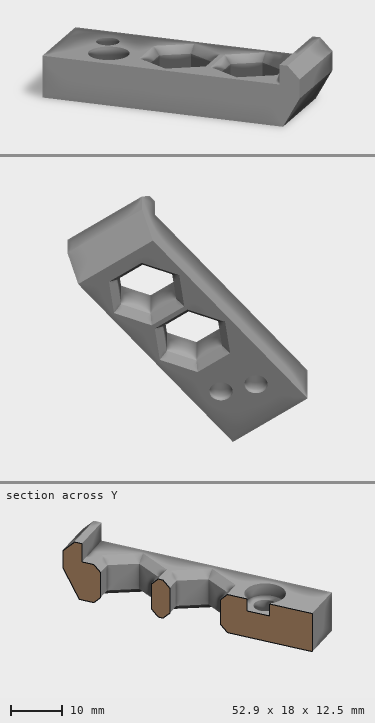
import cadquery as cq
import math

length = 52.85
width = 18.0
base_height = 8.5
total_height = 12.5

lip_start = 48.75
lip_top_end = 50.35
lip_nose_top = 10.05
lip_nose_bottom = 6.15
underside_end = 49.4

hole_diameter = 4.5
counterbore_diameter = 8.0
counterbore_depth = 2.65
plain_hole_center = (8.8, 3.2)
counterbored_hole_center = (11.45, -3.2)

hex_centers_x = (24.85, 39.5)
hex_flats = 10.7
hex_mouth_flats = 13.65
flare_depth = 1.5


def make_body():
    """Side profile extruded across the width."""
    profile = [
        (0, 0),
        (underside_end, 0),
        (length, lip_nose_bottom),
        (length, lip_nose_top),
        (lip_top_end, total_height),
        (lip_start, total_height),
        (lip_start, base_height),
        (0, base_height),
    ]
    return cq.Workplane("XZ").polyline(profile).close().extrude(width / 2, both=True)


def hex_points(flats):
    """Corners of a hexagon with two of them on the Y axis."""
    radius = flats / math.sqrt(3)
    angles = [math.radians(30 + 60 * i) for i in range(6)]
    return [(radius * math.cos(a), radius * math.sin(a)) for a in angles]


def hex_window(center_x):
    """Straight hexagonal prism with a tapered mouth at the top and bottom."""
    def section(z, flats):
        return cq.Workplane("XY", origin=(center_x, 0, z)).polyline(hex_points(flats)).close()

    def flare(mouth_z, throat_z):
        mouth = section(mouth_z, hex_mouth_flats)
        rise = throat_z - mouth_z
        return mouth.workplane(offset=rise).polyline(hex_points(hex_flats)).close().loft(ruled=True)

    window = section(0, hex_flats).extrude(base_height)
    window = window.union(flare(base_height, base_height - flare_depth))
    return window.union(flare(0, flare_depth))


def cylinder(center, diameter, bottom, top):
    """Vertical cylinder between two heights."""
    return cq.Workplane("XY", origin=(*center, bottom)).circle(diameter / 2).extrude(top - bottom)


result = make_body()
for center in (plain_hole_center, counterbored_hole_center):
    result = result.cut(cylinder(center, hole_diameter, 0, base_height))
counterbore_floor = base_height - counterbore_depth
result = result.cut(
    cylinder(counterbored_hole_center, counterbore_diameter, counterbore_floor, base_height)
)
for center_x in hex_centers_x:
    result = result.cut(hex_window(center_x))